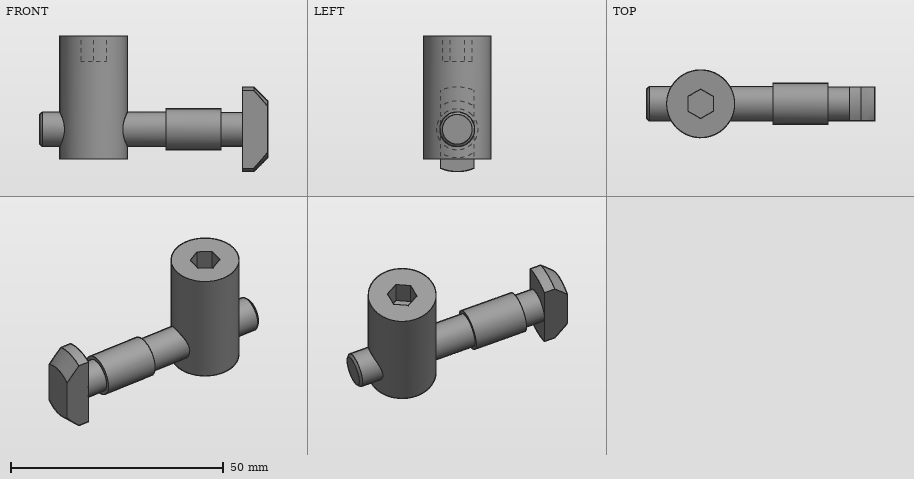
import cadquery as cq

barrel_diameter = 16.0
barrel_top = 22.0
barrel_bottom = -7.0

socket_across_flats = 6.0
socket_depth = 6.0

pin_start = -12.7
sleeve_start = 17.0
sleeve_end = 30.0
head_start = 35.0
head_end = 41.0

pin_diameter = 8.2
pin_chamfer = 0.6
sleeve_diameter = 9.7
neck_diameter = 8.0

head_diameter = 20.0
head_width = neck_diameter
head_taper = 3.3


def rod(diameter, start, end):
    """Cylinder on the bolt axis between two X stations."""
    return cq.Workplane("YZ").workplane(offset=start).circle(diameter / 2).extrude(end - start)


def make_barrel():
    barrel = (
        cq.Workplane("XY")
        .workplane(offset=barrel_bottom)
        .circle(barrel_diameter / 2)
        .extrude(barrel_top - barrel_bottom)
    )
    socket = (
        cq.Workplane("XY")
        .workplane(offset=barrel_top)
        .polygon(6, socket_across_flats, circumscribed=True)
        .extrude(-socket_depth)
    )
    return barrel.cut(socket)


def make_head():
    disc = rod(head_diameter, head_start, head_end).faces(">X").chamfer(head_taper)
    flats = (
        cq.Workplane("YZ")
        .workplane(offset=head_start)
        .rect(head_width, head_diameter)
        .extrude(head_end - head_start)
    )
    return disc.intersect(flats)


def make_bolt():
    pin = rod(pin_diameter, pin_start, sleeve_start).faces("<X").chamfer(pin_chamfer)
    sleeve = rod(sleeve_diameter, sleeve_start, sleeve_end)
    neck = rod(neck_diameter, sleeve_end, head_start)
    return pin.union(sleeve).union(neck).union(make_head())


result = make_barrel().union(make_bolt())